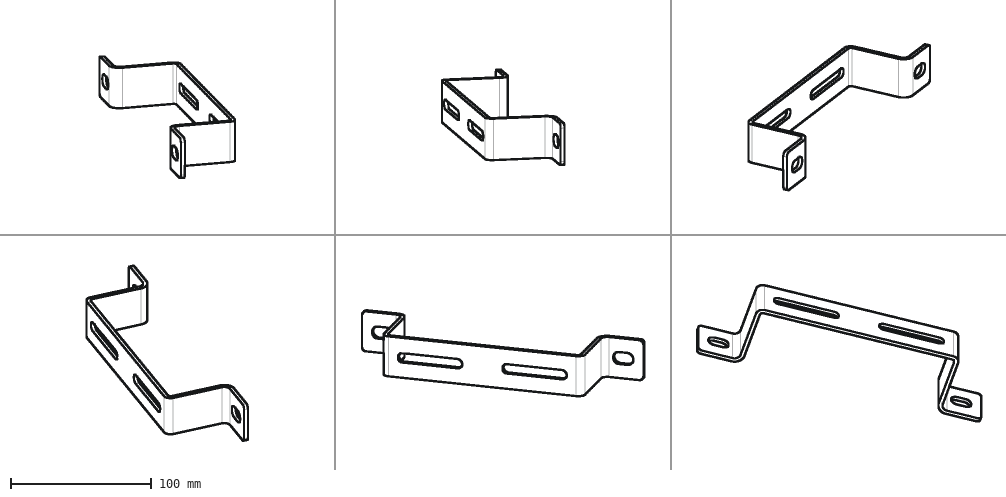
import cadquery as cq

length = 210.0
depth = 50.0
height = 30.0
thickness = 3.0

web_width = 150.0
web_inner_radius = 2.0
foot_inner_radius = 4.5

foot_corner_radius = 3.0
foot_slot_length = 15.0
foot_slot_width = 9.0
foot_slot_end_distance = 15.0
foot_slot_x = length / 2 - foot_slot_end_distance

web_slot_length = 48.0
web_slot_width = 7.0
web_slot_gap = 30.0
web_slot_x = (web_slot_gap + web_slot_length) / 2

front_y = -depth / 2
back_y = depth / 2
foot_back_y = front_y + thickness
web_front_y = back_y - thickness
leg_outer_x = web_width / 2
leg_inner_x = leg_outer_x - thickness
foot_end_x = length / 2
web_outer_radius = web_inner_radius + thickness
foot_outer_radius = foot_inner_radius + thickness


def make_box(x_min, x_max, y_min, y_max):
    """Block over the full strip height, centred on Z = 0."""
    return (
        cq.Workplane("XY")
        .box(x_max - x_min, y_max - y_min, height)
        .translate(((x_min + x_max) / 2, (y_min + y_max) / 2, 0))
    )


def round_edge(body, x, y, radius):
    """Round the vertical edge that passes through (x, y)."""
    edge = cq.selectors.NearestToPointSelector((x, y, 0))
    return body.edges("|Z").edges(edge).fillet(radius)


def make_strip():
    """Flat web, two legs and two outward feet, with rounded bends."""
    strip = make_box(-leg_outer_x, leg_outer_x, web_front_y, back_y)
    for side in (-1, 1):
        leg_x = sorted((side * leg_inner_x, side * leg_outer_x))
        foot_x = sorted((side * leg_inner_x, side * foot_end_x))
        strip = strip.union(make_box(*leg_x, front_y, back_y))
        strip = strip.union(make_box(*foot_x, front_y, foot_back_y))
    strip = strip.clean()
    for side in (-1, 1):
        strip = round_edge(strip, side * leg_outer_x, back_y, web_outer_radius)
        strip = round_edge(strip, side * leg_inner_x, web_front_y, web_inner_radius)
        strip = round_edge(strip, side * leg_outer_x, foot_back_y, foot_inner_radius)
        strip = round_edge(strip, side * leg_inner_x, front_y, foot_outer_radius)
    return strip


def round_foot_corners(body):
    """Round the free corners of both feet."""
    return body.faces("<X or >X").edges("|Y").fillet(foot_corner_radius)


def make_slot_pair(center_x, slot_length, slot_width, face_y):
    """Mirrored pair of slot cutters through the sheet that starts at face_y."""
    return (
        cq.Workplane("XZ", origin=(0, face_y, 0))
        .pushPoints([(-center_x, 0), (center_x, 0)])
        .slot2D(slot_length, slot_width)
        .extrude(-thickness)
    )


bracket = round_foot_corners(make_strip())
bracket = bracket.cut(make_slot_pair(foot_slot_x, foot_slot_length, foot_slot_width, front_y))
bracket = bracket.cut(make_slot_pair(web_slot_x, web_slot_length, web_slot_width, web_front_y))

result = bracket